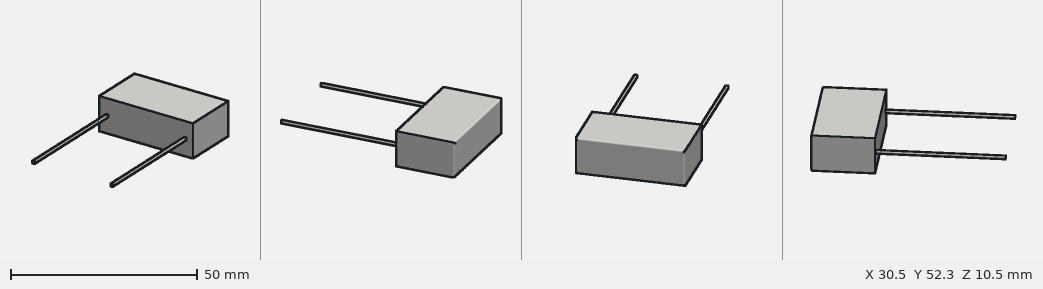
import cadquery as cq


case_width = 30.5
case_depth = 17.3
case_thickness = 10.51
end_edge_radius = 0.5

overall_length = 52.3
lead_length = overall_length - case_depth
lead_diameter = 1.05
lead_pitch = 25.4


def make_case():
    """Solid block whose edges around the +Y end are rounded."""
    block = cq.Workplane("XY").box(
        case_width, case_depth, case_thickness, centered=(True, False, True)
    )
    return block.faces(">Y").edges().fillet(end_edge_radius)


def make_lead(x_position):
    """Straight round wire running from the lead face of the case toward -Y."""
    return (
        cq.Workplane("XZ")
        .center(x_position, 0)
        .circle(lead_diameter / 2)
        .extrude(lead_length)
    )


case = make_case()
leads = [make_lead(side * lead_pitch / 2) for side in (-1, 1)]

result = cq.Compound.makeCompound([case.val(), *[lead.val() for lead in leads]])